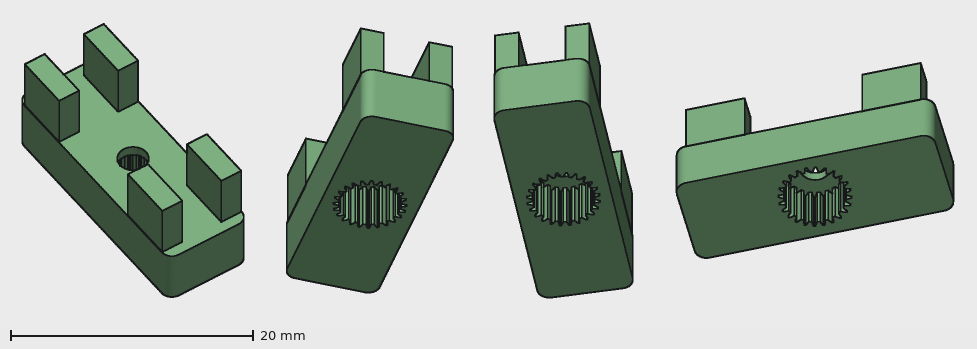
import cadquery as cq
import math

length = 22.0
width = 8.0
base_height = 5.0
corner_radius = 1.01

total_height = 10.0
post_length = 5.0
post_thickness = 2.0
post_side_inset = 0.05

hole_diameter = 2.6
hole_land = 1.0

groove_count = 24
groove_diameter = 6.1
ridge_diameter = 5.2
groove_floor_width = 0.1
groove_middle_width = 0.3
groove_mouth_width = 0.42


def polar_point(radius, angle):
    """Point at a radius and an angle in radians."""
    return (radius * math.cos(angle), radius * math.sin(angle))


def make_base():
    """Block standing on Z = 0 with rounded vertical edges."""
    block = cq.Workplane("XY").box(length, width, base_height, centered=(True, True, False))
    return block.edges("|Z").fillet(corner_radius)


def make_posts():
    """Four posts on the top face, starting in X where the corner rounding ends."""
    x_spacing = length - 2 * corner_radius - post_length
    y_spacing = width - 2 * post_side_inset - post_thickness
    return (
        cq.Workplane("XY")
        .workplane(offset=base_height)
        .rarray(x_spacing, y_spacing, 2, 2)
        .rect(post_length, post_thickness)
        .extrude(total_height - base_height)
    )


def make_splined_socket():
    """Socket volume: grooves with bowed sides, joined by the flat ridge tops."""
    groove_radius = groove_diameter / 2
    ridge_radius = ridge_diameter / 2
    pitch = 2 * math.pi / groove_count
    half_floor = math.asin(groove_floor_width / groove_diameter)
    half_mouth = math.asin(groove_mouth_width / ridge_diameter)
    middle_radius = (groove_radius + ridge_radius) / 2
    half_middle = math.asin(groove_middle_width / (2 * middle_radius))

    outline = cq.Workplane("XY").moveTo(*polar_point(ridge_radius, -half_mouth))
    for index in range(groove_count):
        center = index * pitch
        outline = (
            outline.threePointArc(
                polar_point(middle_radius, center - half_middle),
                polar_point(groove_radius, center - half_floor),
            )
            .threePointArc(
                polar_point(groove_radius, center),
                polar_point(groove_radius, center + half_floor),
            )
            .threePointArc(
                polar_point(middle_radius, center + half_middle),
                polar_point(ridge_radius, center + half_mouth),
            )
            .lineTo(*polar_point(ridge_radius, center + pitch - half_mouth))
        )
    return outline.close().extrude(base_height - hole_land)


screw_hole = cq.Workplane("XY").circle(hole_diameter / 2).extrude(base_height)

result = make_base().union(make_posts()).cut(make_splined_socket()).cut(screw_hole)